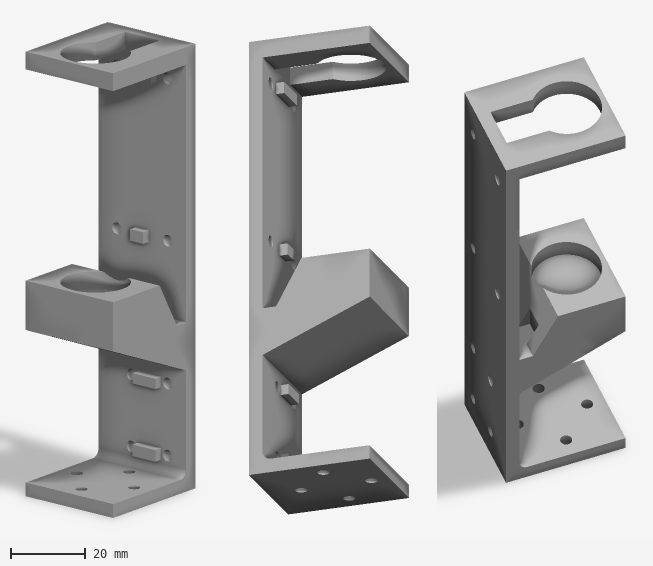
import cadquery as cq

width = 30.5
height = 125.0
depth = 34.5
plate_thickness = 3.9
reach = depth - plate_thickness
center_x = width / 2

foot_thickness = 3.9
top_thickness = 5.0
foot_fillet = 2.4

bore_diameter = 19.0
bore_from_front = 11.0
bore_y = bore_from_front - reach
entry_slot_width = 12.0
seat_depth = 5.0

bracket_root_z = 34.1
bracket_nose_z = 46.8
ledge_z = 47.6
bracket_top_z = 60.6
ledge_length = 3.9
slope_end = 11.1

notch_left = 4.6
notch_width = 6.5
notch_length = 7.4

hole_diameter = 3.2
peg_length = 2.4
upper_peg_height = 3.2
lower_peg_height = 2.9
right_hole_x = 24.1
upper_left_hole_x = width - right_hole_x
lower_left_hole_x = 11.5
lower_peg_width = 8.0
rows = [
    (114.9, upper_left_hole_x, 9.9, upper_peg_height),
    (69.2, upper_left_hole_x, 4.5, upper_peg_height),
    (29.1, lower_left_hole_x, lower_peg_width, lower_peg_height),
    (8.9, lower_left_hole_x, lower_peg_width, upper_peg_height),
]

foot_circle_radius = 10.0
foot_pattern_from_front = 15.1


def box(x, y, z, dx, dy, dz):
    """Box given by its minimum corner and its sizes."""
    return cq.Workplane("XY").box(dx, dy, dz, centered=False).translate((x, y, z))


def vertical_cylinder(x, y, z, diameter, length):
    return cq.Workplane("XY", origin=(x, y, z)).circle(diameter / 2).extrude(length)


def make_frame():
    """C-shaped frame: back plate, foot and top shelf, with the foot corner filleted."""
    outline = [
        (plate_thickness, 0),
        (plate_thickness, height),
        (-reach, height),
        (-reach, height - top_thickness),
        (0, height - top_thickness),
        (0, foot_thickness),
        (-reach, foot_thickness),
        (-reach, 0),
    ]
    frame = cq.Workplane("YZ").polyline(outline).close().extrude(width)
    foot_corner = cq.selectors.NearestToPointSelector((center_x, 0, foot_thickness))
    return frame.edges(foot_corner).fillet(foot_fillet)


def make_bracket():
    outline = [
        (0, bracket_root_z),
        (0, ledge_z),
        (-ledge_length, ledge_z),
        (-slope_end, bracket_top_z),
        (-reach, bracket_top_z),
        (-reach, bracket_nose_z),
    ]
    bracket = cq.Workplane("YZ").polyline(outline).close().extrude(width)
    seat = vertical_cylinder(center_x, bore_y, bracket_top_z - seat_depth, bore_diameter, seat_depth)
    notch = box(
        notch_left, -notch_length, ledge_z,
        notch_width, notch_length, bracket_top_z - ledge_z,
    )
    return bracket.cut(seat).cut(notch)


def make_top_opening():
    """Through bore joined to the plate by a straight entry slot."""
    shelf_z = height - top_thickness
    bore = vertical_cylinder(center_x, bore_y, shelf_z, bore_diameter, top_thickness)
    slot = box(
        center_x - entry_slot_width / 2, bore_y, shelf_z,
        entry_slot_width, -bore_y, top_thickness,
    )
    return bore.union(slot)


result = make_frame().cut(make_top_opening()).union(make_bracket())

for row_z, left_hole_x, peg_width, peg_height in rows:
    peg_x = (left_hole_x + right_hole_x) / 2
    peg = box(
        peg_x - peg_width / 2, -peg_length, row_z - peg_height / 2,
        peg_width, peg_length, peg_height,
    )
    result = result.union(peg)
    for hole_x in (left_hole_x, right_hole_x):
        hole = (
            cq.Workplane("XZ", origin=(hole_x, plate_thickness, row_z))
            .circle(hole_diameter / 2)
            .extrude(plate_thickness)
        )
        result = result.cut(hole)

foot_holes = (
    cq.Workplane("XY", origin=(center_x, foot_pattern_from_front - reach, 0))
    .polarArray(foot_circle_radius, 0, 360, 4)
    .circle(hole_diameter / 2)
    .extrude(foot_thickness)
)
result = result.cut(foot_holes)